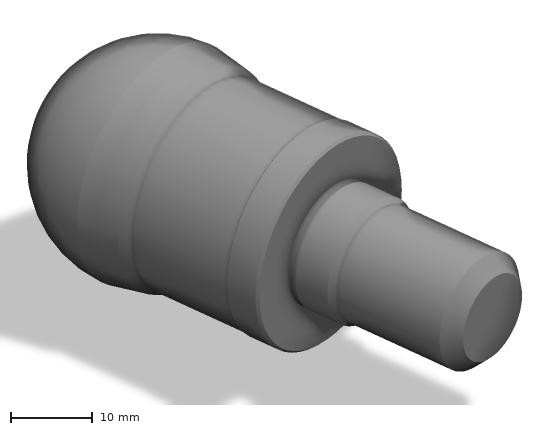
import cadquery as cq
import math

TOTAL_LENGTH = 68.0

DOME_DIAMETER = 32.0
DOME_TAPER_END = 21.6
DOME_TAPER_ANGLE = 10.0
SKIRT_START = 23.2
SKIRT_DIAMETER = 28.6
SKIRT_END = 37.95

FLANGE_DIAMETER = 29.0
FLANGE_END = 42.85
FLANGE_CHAMFER = 0.35
NECK_DIAMETER = 16.6
NECK_LENGTH = 0.7
NECK_FILLET = 0.2
PILOT_DIAMETER = 17.0
PILOT_START = 44.05
PILOT_TAPER_START = 49.0
PILOT_END = 50.0
SHANK_DIAMETER = 15.8
SHANK_CHAMFER = 2.05


def make_cap():
    """Revolve the dome-ended cap about the X axis."""
    dome_radius = DOME_DIAMETER / 2
    skirt_radius = SKIRT_DIAMETER / 2
    diagonal = dome_radius * math.sqrt(0.5)
    taper_drop = (DOME_TAPER_END - dome_radius) * math.tan(math.radians(DOME_TAPER_ANGLE))
    return (
        cq.Workplane("XY")
        .threePointArc((dome_radius - diagonal, diagonal), (dome_radius, dome_radius))
        .lineTo(DOME_TAPER_END, dome_radius - taper_drop)
        .lineTo(SKIRT_START, skirt_radius)
        .lineTo(SKIRT_END, skirt_radius)
        .lineTo(SKIRT_END, 0)
        .close()
        .revolve(360, (0, 0, 0), (1, 0, 0))
    )


def make_stud():
    """Revolve the flanged stud about the X axis."""
    skirt_radius = SKIRT_DIAMETER / 2
    flange_radius = FLANGE_DIAMETER / 2
    neck_radius = NECK_DIAMETER / 2
    pilot_radius = PILOT_DIAMETER / 2
    shank_radius = SHANK_DIAMETER / 2
    fillet_offset = NECK_FILLET * (1 - math.sqrt(0.5))
    return (
        cq.Workplane("XY")
        .moveTo(SKIRT_END, 0)
        .lineTo(SKIRT_END, skirt_radius)
        .lineTo(SKIRT_END + flange_radius - skirt_radius, flange_radius)
        .lineTo(FLANGE_END - FLANGE_CHAMFER, flange_radius)
        .lineTo(FLANGE_END, flange_radius - FLANGE_CHAMFER)
        .lineTo(FLANGE_END, neck_radius + NECK_FILLET)
        .threePointArc(
            (FLANGE_END + fillet_offset, neck_radius + fillet_offset),
            (FLANGE_END + NECK_FILLET, neck_radius),
        )
        .lineTo(FLANGE_END + NECK_LENGTH, neck_radius)
        .lineTo(PILOT_START, pilot_radius)
        .lineTo(PILOT_TAPER_START, pilot_radius)
        .lineTo(PILOT_END, shank_radius)
        .lineTo(TOTAL_LENGTH - SHANK_CHAMFER, shank_radius)
        .lineTo(TOTAL_LENGTH, shank_radius - SHANK_CHAMFER)
        .lineTo(TOTAL_LENGTH, 0)
        .close()
        .revolve(360, (0, 0, 0), (1, 0, 0))
    )


cap = make_cap()
stud = make_stud()

result = cq.Compound.makeCompound([cap.val(), stud.val()])